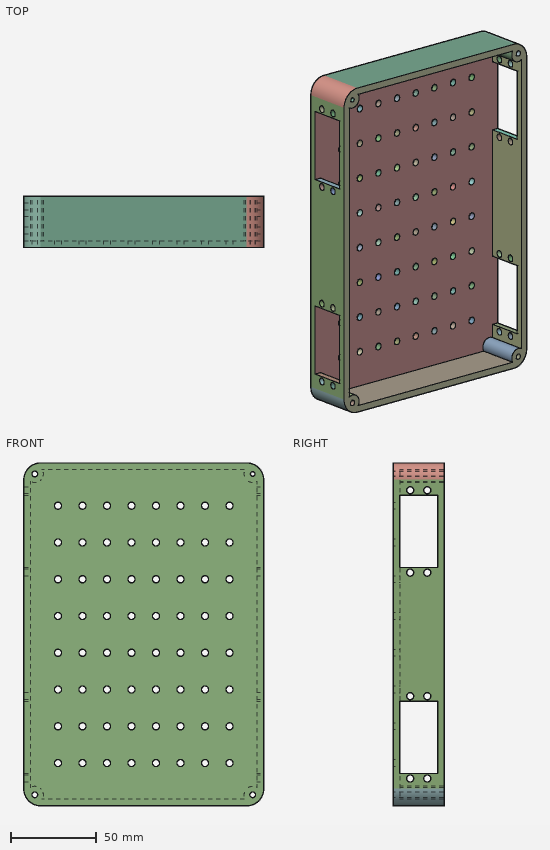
import cadquery as cq

width = 140.0
depth = 30.0
height = 200.0
corner_radius = 10.0
wall = 4.0
plate = wall

pillar_diameter = 10.0
pillar_spacing_x = 127.0
pillar_spacing_z = 187.0
pillar_hole_diameter = 3.2
small_hole_diameter = 2.5

grid_count = 8
grid_width = 100.0
grid_height = 150.0
grid_hole_diameter = 4.0

window_width = 22.0
window_height = 42.0
window_end_distance = 40.0
window_offset = height / 2 - window_end_distance
screw_hole_diameter = 4.0
screw_spacing_y = 10.0
screw_spacing_z = 48.0


def prism(outline_width, outline_height, radius, start, end):
    """Rounded rectangle in XZ, centred on the Y axis, running from y=start to y=end."""
    block = cq.Workplane("XY").box(outline_width, end - start, outline_height)
    return block.edges("|Y").fillet(radius).translate((0, (start + end) / 2, 0))


def rods_along_y(points, diameter):
    """Cylinders along Y over the full depth, at (x, z) points."""
    return cq.Workplane("XZ").pushPoints(points).circle(diameter / 2).extrude(-depth)


tray = prism(width, height, corner_radius, 0, depth)
cavity = prism(width - 2 * wall, height - 2 * wall, corner_radius - wall, plate, depth)
tray = tray.cut(cavity)

pillar_x = pillar_spacing_x / 2
pillar_z = pillar_spacing_z / 2
small_hole_points = [(pillar_x, pillar_z)]
pillar_hole_points = [(-pillar_x, pillar_z), (-pillar_x, -pillar_z), (pillar_x, -pillar_z)]
tray = tray.union(rods_along_y(small_hole_points + pillar_hole_points, pillar_diameter))
tray = tray.cut(rods_along_y(pillar_hole_points, pillar_hole_diameter))
tray = tray.cut(rods_along_y(small_hole_points, small_hole_diameter))

grid_holes = (
    cq.Workplane("XZ")
    .rarray(grid_width / (grid_count - 1), grid_height / (grid_count - 1), grid_count, grid_count)
    .circle(grid_hole_diameter / 2)
    .extrude(-plate)
)
tray = tray.cut(grid_holes)

for window_z in (-window_offset, window_offset):
    side_plane = cq.Workplane("YZ", origin=(-width / 2, depth / 2, window_z))
    window = side_plane.rect(window_width, window_height).extrude(width)
    screw_holes = (
        side_plane.rarray(screw_spacing_y, screw_spacing_z, 2, 2)
        .circle(screw_hole_diameter / 2)
        .extrude(width)
    )
    tray = tray.cut(window).cut(screw_holes)

result = tray